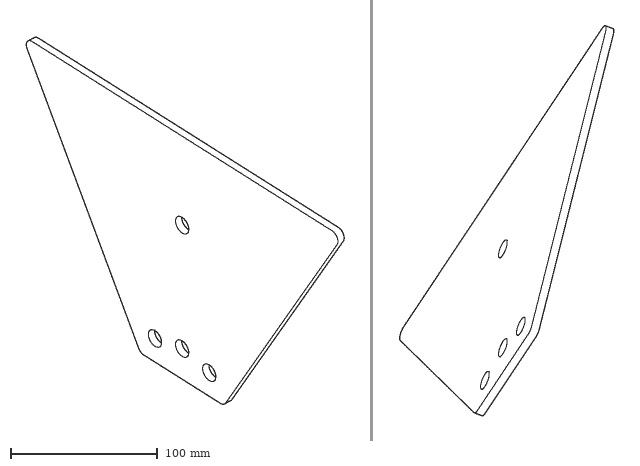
import cadquery as cq
import math

width = 311.5
height = 205.0
thickness = 6.0
corner_radius = 6.0
side_angle = math.radians(60)

hole_diameter = 13.0
center_hole_heights = (26.0, 130.0)
side_hole_height = 20.0
side_hole_offset = 27.0

top_half = width / 2 - corner_radius + corner_radius / math.tan(side_angle / 2)
bottom_half = top_half - height / math.tan(side_angle)


def make_plate():
    """Trapezoid in XZ with its bottom edge at Z = 0 and all corners rounded."""
    corners = [
        (-bottom_half, 0),
        (bottom_half, 0),
        (top_half, height),
        (-top_half, height),
    ]
    plate = cq.Workplane("XZ").polyline(corners).close().extrude(thickness / 2, both=True)
    return plate.edges("|Y").fillet(corner_radius)


def make_holes():
    """Cylinders through the thickness: two on the centerline, one on each side."""
    centers = [(0, z) for z in center_hole_heights]
    centers += [(side * side_hole_offset, side_hole_height) for side in (-1, 1)]
    holes = cq.Workplane("XZ").pushPoints(centers).circle(hole_diameter / 2)
    return holes.extrude(thickness, both=True)


result = make_plate().cut(make_holes())